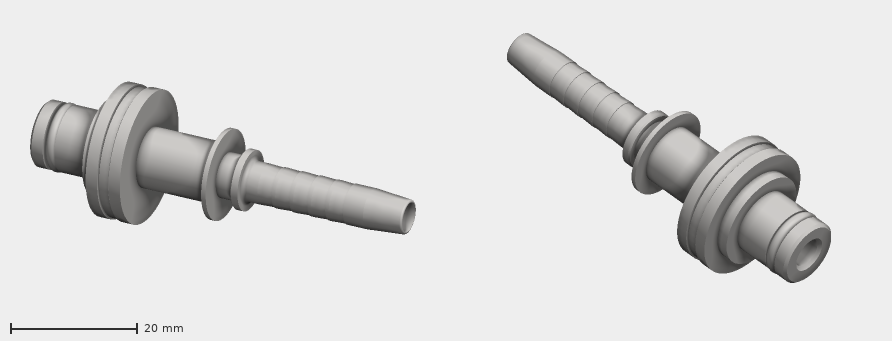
import cadquery as cq
import math


overall_length = 64.0
bore_radius = 4.9 / 2
bore_mouth_radius = 6.0 / 2

spigot_radius = 11.0 / 2
spigot_nose_radius = 10.1 / 2
groove_start = 2.4
groove_end = 4.45
groove_floor_radius = 8.2 / 2
bead_section_radius = 0.9
bead_outer_radius = 11.3 / 2
bead_centre_radius = bead_outer_radius - bead_section_radius
bead_wall_overlap = 0.05
bead_station = groove_end + bead_wall_overlap - bead_section_radius

shoulder_start = 10.5
shoulder_radius = 16.0 / 2
shoulder_width = 2.0
rim_width = 6.0
rim_radius = 22.0 / 2
rim_start = shoulder_start + shoulder_width
rim_end = rim_start + rim_width
rim_groove_width = 2.0
rim_groove_start = rim_start + (rim_width - rim_groove_width) / 2
rim_groove_end = rim_groove_start + rim_groove_width

seal_side_gap = 0.2
seal_width = rim_groove_width - 2 * seal_side_gap
seal_start = rim_groove_start + seal_side_gap
seal_outer_radius = 21.4 / 2
seal_inner_radius = seal_outer_radius - seal_width

shaft_radius = 10.0 / 2
disc_start = 31.1
disc_thickness = 0.8
disc_end = disc_start + disc_thickness
disc_radius = 15.0 / 2
neck_radius = 7.5 / 2

collar_start = 34.9
collar_end = 36.3
collar_radius = shaft_radius
collar_chamfer = 0.25
collar_fillet = 0.7

tail_radius = 6.7 / 2
barb_count = 5
barb_start = 39.0
barb_pitch = 3.13
barb_length = 2.5
barb_root_radius = 6.45 / 2

taper_start = 57.5
tip_radius = 5.7 / 2
tip_rounding = 0.35


def fitting_profile():
    """Half section of the fitting, above the X axis, without its bore."""
    quarter = math.sqrt(0.5)
    bead_foot_offset = math.sqrt(
        bead_section_radius**2 - (bead_centre_radius - groove_floor_radius) ** 2
    )
    bead_contact_rise = math.sqrt(
        bead_section_radius**2 - (groove_end - bead_station) ** 2
    )
    nose_chamfer = spigot_radius - spigot_nose_radius
    profile = (
        cq.Workplane("XY")
        .lineTo(0, spigot_nose_radius)
        .lineTo(nose_chamfer, spigot_radius)
        .lineTo(groove_start, spigot_radius)
        .lineTo(groove_start, groove_floor_radius)
        .lineTo(bead_station - bead_foot_offset, groove_floor_radius)
        .threePointArc(
            (bead_station, bead_outer_radius),
            (groove_end, bead_centre_radius + bead_contact_rise),
        )
        .lineTo(groove_end, spigot_radius)
        .lineTo(shoulder_start, spigot_radius)
        .lineTo(shoulder_start, shoulder_radius)
        .lineTo(rim_start, shoulder_radius)
        .lineTo(rim_start, rim_radius)
        .lineTo(rim_groove_start, rim_radius)
        .lineTo(rim_groove_start, seal_inner_radius)
        .lineTo(rim_groove_end, seal_inner_radius)
        .lineTo(rim_groove_end, rim_radius)
        .lineTo(rim_end, rim_radius)
        .lineTo(rim_end, shaft_radius)
        .lineTo(disc_start, shaft_radius)
        .lineTo(disc_start, disc_radius)
        .lineTo(disc_end, disc_radius)
        .lineTo(disc_end, neck_radius)
        .lineTo(collar_start, neck_radius)
        .lineTo(collar_start, collar_radius - collar_chamfer)
        .lineTo(collar_start + collar_chamfer, collar_radius)
        .lineTo(collar_end, collar_radius)
        .lineTo(collar_end, tail_radius + collar_fillet)
        .threePointArc(
            (
                collar_end + collar_fillet * (1 - quarter),
                tail_radius + collar_fillet * (1 - quarter),
            ),
            (collar_end + collar_fillet, tail_radius),
        )
    )

    for index in range(barb_count):
        start = barb_start + index * barb_pitch
        end = start + barb_length
        profile = (
            profile.lineTo(start, tail_radius)
            .lineTo(end, barb_root_radius)
            .lineTo(end, tail_radius)
        )

    return (
        profile.lineTo(taper_start, tail_radius)
        .lineTo(overall_length - tip_rounding, tip_radius)
        .threePointArc(
            (
                overall_length - tip_rounding * (1 - quarter),
                tip_radius - tip_rounding * (1 - quarter),
            ),
            (overall_length, tip_radius - tip_rounding),
        )
        .lineTo(overall_length, 0)
        .close()
    )


def bore_profile():
    """Half section of the through bore with its countersunk mouth at the -X end."""
    mouth_depth = bore_mouth_radius - bore_radius
    return (
        cq.Workplane("XY")
        .lineTo(0, bore_mouth_radius)
        .lineTo(mouth_depth, bore_radius)
        .lineTo(overall_length, bore_radius)
        .lineTo(overall_length, 0)
        .close()
    )


def revolve_about_x(profile):
    return profile.revolve(360, (0, 0, 0), (1, 0, 0))


def make_fitting():
    return revolve_about_x(fitting_profile()).cut(revolve_about_x(bore_profile()))


def make_seal_ring():
    return (
        cq.Workplane("YZ", origin=(seal_start, 0, 0))
        .circle(seal_outer_radius)
        .circle(seal_inner_radius)
        .extrude(seal_width)
    )


fitting = make_fitting()
seal_ring = make_seal_ring()

result = cq.Compound.makeCompound([fitting.val(), seal_ring.val()])